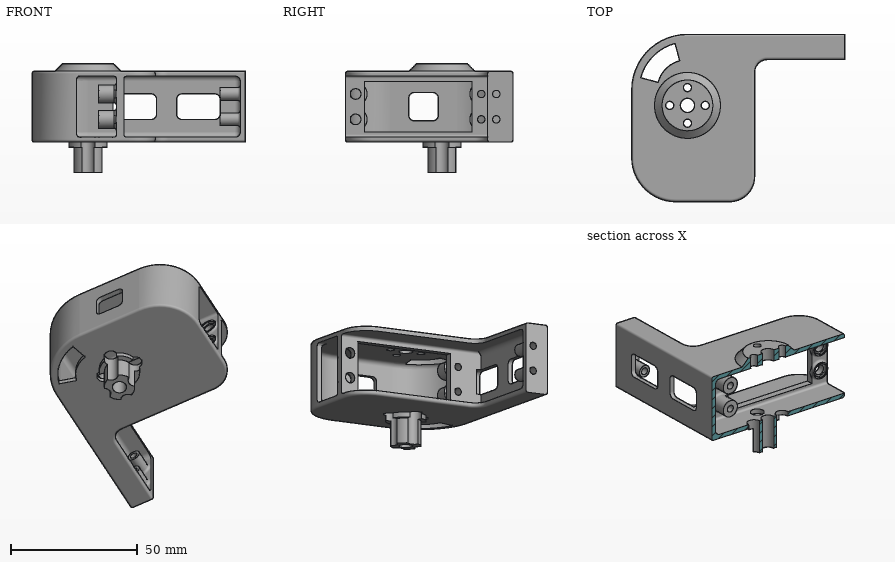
import cadquery as cq
import math


HEIGHT = 28.0
LEFT_X = -22.0
RIGHT_X = 26.5
FRONT_Y = -38.0
BACK_Y = 28.0
ARM_END_X = 62.0
ARM_WIDTH = 10.0
ARM_FRONT_Y = BACK_Y - ARM_WIDTH
BACK_LEFT_RADIUS = 22.0
FRONT_LEFT_RADIUS = 17.5
FRONT_RIGHT_RADIUS = 10.0
ARM_ROOT_RADIUS = 5.0
RIM_FILLET = 1.0

PLATE = 2.0
WALL = 2.0
PARTITION = 3.0
CAVITY_FILLET = 2.0
PARTITION_FILLET = 1.0
PARTITION_LEFT_X = 11.2
PARTITION_RIGHT_X = PARTITION_LEFT_X + PARTITION
OPENING_FILLET = 1.4
CAVITY_HEIGHT = HEIGHT - 2 * PLATE
CUT_MARGIN = 5.0

BACK_ARC_X = LEFT_X + BACK_LEFT_RADIUS
BACK_ARC_Y = BACK_Y - BACK_LEFT_RADIUS
FRONT_ARC_X = LEFT_X + FRONT_LEFT_RADIUS
FRONT_ARC_Y = FRONT_Y + FRONT_LEFT_RADIUS

SLOT_INNER_RADIUS = 12.0
SLOT_OUTER_RADIUS = 19.0
SLOT_START_ANGLE = 105.0
SLOT_END_ANGLE = 165.0

WINDOW_CORNER_RADIUS = 2.0
BACK_WINDOW_WIDTH = 17.0
BACK_WINDOW_HEIGHT = 10.0
BACK_WINDOW_CENTERS_X = (18.45, 43.5)
SIDE_WINDOW_WIDTH = 11.5
SIDE_WINDOW_HEIGHT = 11.0
SIDE_WINDOW_CENTER_Y = -7.25

PARTITION_WINDOW_WIDTH = 42.3
PARTITION_WINDOW_HEIGHT = 20.0

BOSS_SPACING = 10.0
BOSS_HEIGHTS = (HEIGHT / 2 - BOSS_SPACING / 2, HEIGHT / 2 + BOSS_SPACING / 2)
BOSS_BASE_FILLET = 1.0
BOSS_HOLE_DIAMETER = 2.9
ARM_BOSS_DIAMETER = 5.0
ARM_BOSS_LENGTH = 8.0
ARM_BOSS_Y = 21.4
PARTITION_BOSS_DIAMETER = 7.0
NUT_BOSS_LENGTH = 1.0
NUT_BOSS_Y = -34.0
NUT_ACROSS_FLATS = 5.5
NUT_DEPTH = 1.0
NUT_HOLE_DIAMETER = 4.2
LONG_BOSS_LENGTH = 7.0
LONG_BOSS_SPACING = 49.5
LONG_BOSS_Y = NUT_BOSS_Y + LONG_BOSS_SPACING

DOME_HEIGHT = 3.0
DOME_BASE_RADIUS = 13.0
DOME_TOP_RADIUS = 10.0
SHAFT_RADIUS = 6.0
SHAFT_LENGTH = 12.0
FLANGE_RADIUS = 8.0
FLANGE_THICKNESS = 2.0
BORE_DIAMETER = 5.5
SCREW_CIRCLE_RADIUS = 7.0
SCREW_HOLE_DIAMETER = 3.1
SCREW_HEAD_DIAMETER = 5.5


def arc_point(center_x, center_y, radius, angle):
    """Point on a circle at an angle in degrees from +X."""
    turn = math.radians(angle)
    return (center_x + radius * math.cos(turn), center_y + radius * math.sin(turn))


def box_between(x0, x1, y0, y1, z0, z1):
    """Axis-aligned box given by its limits."""
    return cq.Workplane("XY").box(x1 - x0, y1 - y0, z1 - z0, centered=False).translate((x0, y0, z0))


def rounded_left_outline(inset, right_x, z):
    """Rectangle up to right_x with the two left-hand corners rounded, inset from the outside."""
    left = LEFT_X + inset
    front = FRONT_Y + inset
    back = BACK_Y - inset
    front_middle = arc_point(FRONT_ARC_X, FRONT_ARC_Y, FRONT_LEFT_RADIUS - inset, 225)
    back_middle = arc_point(BACK_ARC_X, BACK_ARC_Y, BACK_LEFT_RADIUS - inset, 135)
    return (
        cq.Workplane("XY", origin=(0, 0, z))
        .moveTo(right_x, front)
        .lineTo(FRONT_ARC_X, front)
        .threePointArc(front_middle, (left, FRONT_ARC_Y))
        .lineTo(left, BACK_ARC_Y)
        .threePointArc(back_middle, (BACK_ARC_X, back))
        .lineTo(right_x, back)
        .close()
    )


def make_housing():
    """Solid L-shaped block with rounded corners and rims; the arm's end face keeps sharp edges."""
    block = rounded_left_outline(0, RIGHT_X, 0).extrude(HEIGHT)
    arm = box_between(BACK_ARC_X, ARM_END_X, ARM_FRONT_Y, BACK_Y, 0, HEIGHT)
    block = block.union(arm).clean()
    front_corner = cq.selectors.NearestToPointSelector((RIGHT_X, FRONT_Y, HEIGHT / 2))
    arm_root = cq.selectors.NearestToPointSelector((RIGHT_X, ARM_FRONT_Y, HEIGHT / 2))
    block = block.edges(front_corner).fillet(FRONT_RIGHT_RADIUS)
    block = block.edges(arm_root).fillet(ARM_ROOT_RADIUS)
    rims = block.faces("<Z or >Z").edges().edges("not(>X)")
    return rims.fillet(RIM_FILLET)


def main_cavity():
    """Room left of the partition, open to the front between the corner arc and the partition."""
    room = rounded_left_outline(WALL, RIGHT_X, PLATE).extrude(CAVITY_HEIGHT)
    room = room.faces("<Z or >Z").edges("not(>X)").fillet(CAVITY_FILLET)
    opening = box_between(
        FRONT_ARC_X, RIGHT_X, FRONT_Y - CUT_MARGIN, FRONT_Y + WALL + CAVITY_FILLET, PLATE, HEIGHT - PLATE
    )
    opening = opening.edges("|Y and <X").fillet(OPENING_FILLET)
    partition_side = box_between(
        LEFT_X, PARTITION_LEFT_X, FRONT_Y - CUT_MARGIN, BACK_Y, PLATE, HEIGHT - PLATE
    )
    partition_side = partition_side.edges("|Y and >X").fillet(PARTITION_FILLET)
    return room.union(opening).intersect(partition_side)


def arm_cavity():
    """Room right of the partition, reaching into the arm and open to the front and right."""
    room = box_between(
        0, ARM_END_X - WALL, FRONT_Y - CUT_MARGIN, BACK_Y - WALL, PLATE, HEIGHT - PLATE
    )
    room = room.edges("(|X and >Y) or (|Y and >X) or (|Z and >X and >Y)").fillet(CAVITY_FILLET)
    partition_side = box_between(
        PARTITION_RIGHT_X, ARM_END_X, FRONT_Y - CUT_MARGIN, BACK_Y, PLATE, HEIGHT - PLATE
    )
    partition_side = partition_side.edges("|Y and <X").fillet(PARTITION_FILLET)
    return room.intersect(partition_side)


def curved_slot():
    """Ring-sector cutter that passes through both plates."""
    middle_angle = (SLOT_START_ANGLE + SLOT_END_ANGLE) / 2

    def at(radius, angle):
        return arc_point(BACK_ARC_X, BACK_ARC_Y, radius, angle)

    return (
        cq.Workplane("XY")
        .moveTo(*at(SLOT_INNER_RADIUS, SLOT_START_ANGLE))
        .lineTo(*at(SLOT_OUTER_RADIUS, SLOT_START_ANGLE))
        .threePointArc(at(SLOT_OUTER_RADIUS, middle_angle), at(SLOT_OUTER_RADIUS, SLOT_END_ANGLE))
        .lineTo(*at(SLOT_INNER_RADIUS, SLOT_END_ANGLE))
        .threePointArc(at(SLOT_INNER_RADIUS, middle_angle), at(SLOT_INNER_RADIUS, SLOT_START_ANGLE))
        .close()
        .extrude(HEIGHT)
    )


def back_window(center_x):
    """Rounded window cutter through the back wall."""
    depth = WALL + CAVITY_FILLET
    window = cq.Workplane("XY").box(BACK_WINDOW_WIDTH, depth, BACK_WINDOW_HEIGHT)
    window = window.edges("|Y").fillet(WINDOW_CORNER_RADIUS)
    return window.translate((center_x, BACK_Y - depth / 2, HEIGHT / 2))


def side_window():
    """Rounded window cutter through the left wall."""
    window = cq.Workplane("XY").box(WALL, SIDE_WINDOW_WIDTH, SIDE_WINDOW_HEIGHT)
    window = window.edges("|X").fillet(WINDOW_CORNER_RADIUS)
    return window.translate((LEFT_X + WALL / 2, SIDE_WINDOW_CENTER_Y, HEIGHT / 2))


def partition_window():
    """Large rectangular cutter through the partition, midway between its front and back bosses."""
    window = cq.Workplane("XY").box(PARTITION, PARTITION_WINDOW_WIDTH, PARTITION_WINDOW_HEIGHT)
    center_y = (NUT_BOSS_Y + LONG_BOSS_Y) / 2
    return window.translate((PARTITION_LEFT_X + PARTITION / 2, center_y, HEIGHT / 2))


def boss(diameter, length, base_x, y, z):
    """Boss pointing to -X from a wall face at base_x, flared where it meets the wall."""
    radius = diameter / 2
    flare = BOSS_BASE_FILLET
    middle = (radius + flare * (1 - math.sqrt(0.5)), flare * (1 - math.sqrt(0.5)))
    flare_profile = (
        cq.Workplane("XY")
        .moveTo(0, -WALL / 2)
        .lineTo(radius + flare, -WALL / 2)
        .lineTo(radius + flare, 0)
        .threePointArc(middle, (radius, flare))
        .lineTo(0, flare)
        .close()
    )
    upright = flare_profile.revolve(360, (0, 0, 0), (0, 1, 0))
    if length > flare:
        post = cq.Workplane("XZ", origin=(0, flare, 0)).circle(radius).extrude(flare - length)
        upright = upright.union(post)
    return upright.rotate((0, 0, 0), (0, 0, 1), 90).translate((base_x, y, z))


def boss_hole(diameter, tip_x, end_x, y, z):
    """Screw hole cutter along X."""
    return cq.Workplane("YZ", origin=(tip_x, y, z)).circle(diameter / 2).extrude(end_x - tip_x)


def nut_pocket(tip_x, y, z):
    """Hexagonal nut pocket cutter starting at the boss tip."""
    across_corners = NUT_ACROSS_FLATS / math.cos(math.pi / 6)
    pocket = cq.Workplane("YZ").polygon(6, across_corners).extrude(NUT_DEPTH)
    return pocket.rotate((0, 0, 0), (1, 0, 0), 90).translate((tip_x, y, z))


def add_bosses(body, outside):
    """Plain bosses on the arm's end wall, nut bosses and long bosses on the partition.

    The flares are trimmed where they would stand out of the housing's outside shape.
    """
    arm_base_x = ARM_END_X - WALL
    arm_tip_x = arm_base_x - ARM_BOSS_LENGTH
    nut_tip_x = PARTITION_LEFT_X - NUT_BOSS_LENGTH
    long_tip_x = PARTITION_LEFT_X - LONG_BOSS_LENGTH
    for z in BOSS_HEIGHTS:
        arm_boss = boss(ARM_BOSS_DIAMETER, ARM_BOSS_LENGTH, arm_base_x, ARM_BOSS_Y, z)
        body = body.union(arm_boss.intersect(outside))
        body = body.cut(boss_hole(BOSS_HOLE_DIAMETER, arm_tip_x, ARM_END_X, ARM_BOSS_Y, z))

        nut_boss = boss(PARTITION_BOSS_DIAMETER, NUT_BOSS_LENGTH, PARTITION_LEFT_X, NUT_BOSS_Y, z)
        body = body.union(nut_boss.intersect(outside))
        body = body.cut(boss_hole(NUT_HOLE_DIAMETER, nut_tip_x, PARTITION_RIGHT_X, NUT_BOSS_Y, z))
        body = body.cut(nut_pocket(nut_tip_x, NUT_BOSS_Y, z))

        body = body.union(boss(PARTITION_BOSS_DIAMETER, LONG_BOSS_LENGTH, PARTITION_LEFT_X, LONG_BOSS_Y, z))
        body = body.cut(boss_hole(BOSS_HOLE_DIAMETER, long_tip_x, PARTITION_RIGHT_X, LONG_BOSS_Y, z))
    return body


def make_dome():
    """Truncated cone on the top plate."""
    return (
        cq.Workplane("XY", origin=(0, 0, HEIGHT))
        .circle(DOME_BASE_RADIUS)
        .workplane(offset=DOME_HEIGHT)
        .circle(DOME_TOP_RADIUS)
        .loft()
    )


def make_shaft():
    """Flanged shaft below the bottom plate."""
    flange = cq.Workplane("XY").circle(FLANGE_RADIUS).extrude(-FLANGE_THICKNESS)
    return flange.union(cq.Workplane("XY").circle(SHAFT_RADIUS).extrude(-SHAFT_LENGTH))


def axis_holes():
    """Central bore, four screw holes and screw-head passages through shaft and bottom plate."""
    full_height = SHAFT_LENGTH + HEIGHT + DOME_HEIGHT
    base = cq.Workplane("XY", origin=(0, 0, -SHAFT_LENGTH))
    bore = base.circle(BORE_DIAMETER / 2).extrude(full_height)
    screws = base.polarArray(SCREW_CIRCLE_RADIUS, 0, 360, 4)
    screw_holes = screws.circle(SCREW_HOLE_DIAMETER / 2).extrude(full_height)
    grooves = screws.circle(SCREW_HEAD_DIAMETER / 2).extrude(SHAFT_LENGTH + PLATE)
    return bore.union(screw_holes).union(grooves)


housing = make_housing()
body = housing.cut(main_cavity()).cut(arm_cavity())
body = add_bosses(body, housing)
body = body.cut(curved_slot()).cut(side_window()).cut(partition_window())
for window_x in BACK_WINDOW_CENTERS_X:
    body = body.cut(back_window(window_x))
result = body.union(make_dome()).union(make_shaft()).cut(axis_holes())